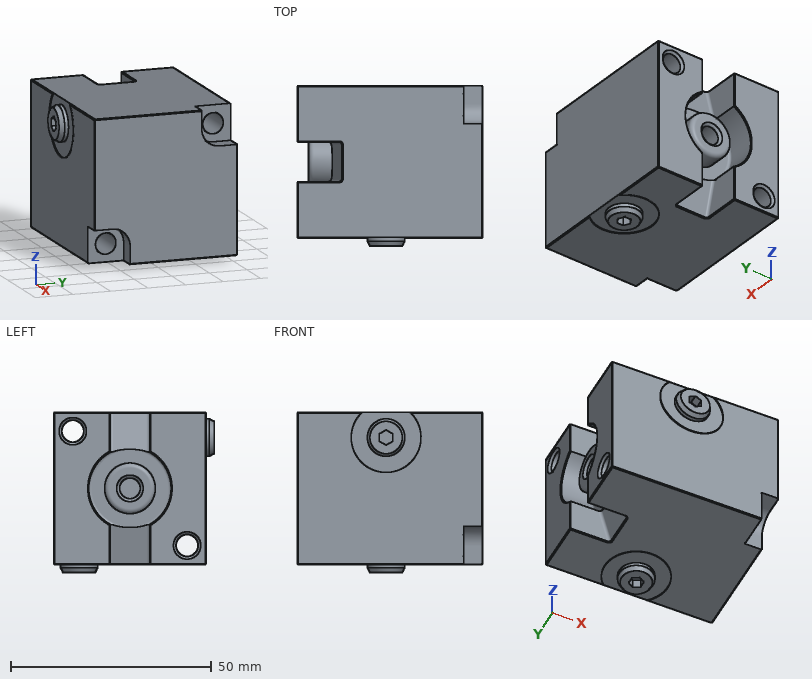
import cadquery as cq
import math

length = 46.35
side = 38.1
half = side / 2
edge_break = 0.25

slot_width = 9.9
slot_end_depth = 11.2
slot_floor_angle = 15.0
slot_ridge_depth = slot_end_depth - half * math.tan(math.radians(slot_floor_angle))
floor_fillet = 0.75

pocket_diameter = 20.6
pocket_depth = 8.75
post_diameter = 12.7
post_recess = 2.8
post_fillet = 1.2
post_hole_diameter = 5.15
post_hole_chamfer = 0.75
post_hole_depth = 12.7

hole_inset = 4.7625
hole_diameter = 5.45
hole_chamfer = 0.45
notch_depth = 4.7625

plug_x = 22.2
plug_inset = 6.35
recess_diameter = 17.46
recess_depth = edge_break
button_diameter = 9.4
button_tip_diameter = 8.1
button_height = 2.03
button_rim_height = 0.75
hex_across_flats = 3.3
hex_depth = 2.5


def x_cylinder(diameter, start, end):
    """Cylinder on the X axis."""
    return cq.Workplane("YZ", origin=(start, 0, 0)).circle(diameter / 2).extrude(end - start)


def countersink(hole, chamfer, start):
    """Cone that widens a hole by the chamfer where it opens at X = start."""
    mouth_radius = hole / 2 + chamfer
    cone = cq.Solid.makeCone(mouth_radius, hole / 2, chamfer, cq.Vector(start, 0, 0), cq.Vector(1, 0, 0))
    return cq.Workplane(cone)


def half_turn(shape):
    """Copy of a shape turned half way round the X axis, to the opposite corner."""
    return shape.rotate((0, 0, 0), (1, 0, 0), 180)


def make_envelope():
    return cq.Workplane("XY").box(length, side, side, centered=(False, True, True))


def make_slot():
    """Slot volume: open on X = 0, with a V-shaped floor and rounded floor corners."""
    profile = [
        (0, -half),
        (slot_end_depth, -half),
        (slot_ridge_depth, 0),
        (slot_end_depth, half),
        (0, half),
    ]
    slot = cq.Workplane("XZ").polyline(profile).close().extrude(slot_width / 2, both=True)
    return slot.faces("<Y or >Y").edges("(not |X) and (not |Z)").fillet(floor_fillet)


def make_pocket():
    return x_cylinder(pocket_diameter, 0, pocket_depth).faces(">X").edges().fillet(floor_fillet)


def make_block():
    """Slotted block with every outer edge broken."""
    block = make_envelope().cut(make_slot()).cut(make_pocket())
    return block.faces("<X or >X or <Y or >Y or <Z or >Z").edges().chamfer(edge_break)


def make_post():
    post = x_cylinder(post_diameter, post_recess, pocket_depth)
    return post.faces("<X").edges().fillet(post_fillet)


def make_post_hole():
    bore = x_cylinder(post_hole_diameter, post_recess, post_recess + post_hole_depth)
    return bore.union(countersink(post_hole_diameter, post_hole_chamfer, post_recess))


def make_notch():
    """Square relief about a mounting hole, its inner corner rounded about the hole axis."""
    outline = cq.Workplane("YZ", origin=(length - notch_depth, 0, 0)).moveTo(-hole_inset, -hole_inset)
    outline = outline.lineTo(hole_inset, -hole_inset).lineTo(hole_inset, 0)
    outline = outline.radiusArc((0, hole_inset), -hole_inset).lineTo(-hole_inset, hole_inset)
    return outline.close().extrude(notch_depth)


def make_mounting_hole():
    """Through hole near the (-Y, -Z) corner, with its countersunk mouth and relief notch."""
    centre = hole_inset - half
    drill = x_cylinder(hole_diameter, 0, length)
    drill = drill.union(countersink(hole_diameter, hole_chamfer, edge_break))
    drill = drill.union(countersink(hole_diameter + 2 * hole_chamfer, edge_break, 0))
    return drill.union(make_notch()).translate((0, centre, centre))


def side_plug_plane(depth):
    """Workplane on the plug axis, facing -Y, sunk below the -Y face."""
    return cq.Workplane("XZ", origin=(plug_x, depth - half, half - plug_inset))


def make_plug_recess():
    """Shallow round seat that breaks out through the nearby top edge."""
    return side_plug_plane(recess_depth).circle(recess_diameter / 2).extrude(recess_depth)


def make_button():
    """Tapered plug head standing on the recess floor, ready for its hex socket."""
    seat = side_plug_plane(recess_depth)
    button = seat.circle(button_diameter / 2).extrude(recess_depth + button_height)
    tip_step = (button_diameter - button_tip_diameter) / 2
    return button.faces("<Y").edges().chamfer(button_height - button_rim_height, tip_step)


def make_hex_socket():
    """Hexagonal socket with two of its corners pointing along Z."""
    tip = side_plug_plane(-button_height).transformed(rotate=(0, 0, 90))
    across_corners = hex_across_flats / math.cos(math.pi / 6)
    return tip.polygon(6, across_corners).extrude(-hex_depth)


def on_bottom_face(shape):
    """Copy of a -Y face feature on the -Z face, made by swapping the Y and Z axes."""
    return shape.rotate((0, 0, 0), (1, 0, 0), 90).mirror("XZ")


mounting_hole = make_mounting_hole()
result = make_block().union(make_post()).cut(make_post_hole())
result = result.cut(mounting_hole).cut(half_turn(mounting_hole))

recess = make_plug_recess()
button = make_button()
socket = make_hex_socket()
result = result.cut(recess).union(button).cut(socket)
result = result.cut(on_bottom_face(recess)).union(on_bottom_face(button)).cut(on_bottom_face(socket))